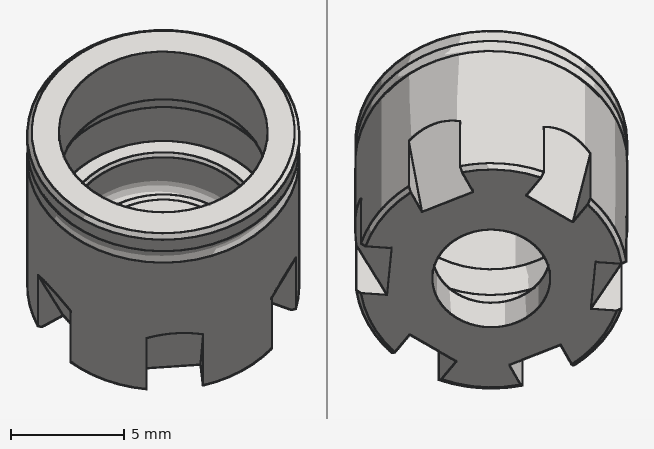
import cadquery as cq
import math

outer_radius = 6.0
height = 10.8
edge_chamfer = 0.2

groove_top = height - 1.0
groove_bottom = height - 1.79
flank_height = 0.2
flank_angle = math.radians(30)

mouth_radius = 4.6
undercut_radius = 5.15
flare_top = height - 3.3
flare_height = 1.2
shelf_level = 3.96
lower_bore_radius = 4.35
lower_bore_chamfer = 0.15

floor_level = 1.92
floor_radius = 3.48
floor_slope = math.radians(20)
trough_inner_radius = 3.9
through_radius = 5.2 / 2

notch_count = 6
notch_width = 2.5
notch_height = 4.1
notch_slope = math.radians(20)
first_notch_angle = 30.0


def make_body():
    """Chamfered cylinder with the external groove, as one revolved outline."""
    flank_radius = outer_radius - flank_height * math.tan(flank_angle)
    arc_half_height = (groove_top - groove_bottom) / 2 - flank_height
    arc_depth = arc_half_height * math.tan(flank_angle / 2)
    return (
        cq.Workplane("XZ")
        .lineTo(outer_radius - edge_chamfer, 0)
        .lineTo(outer_radius, edge_chamfer)
        .lineTo(outer_radius, groove_bottom)
        .lineTo(flank_radius, groove_bottom + flank_height)
        .threePointArc(
            (flank_radius - arc_depth, (groove_bottom + groove_top) / 2),
            (flank_radius, groove_top - flank_height),
        )
        .lineTo(outer_radius, groove_top)
        .lineTo(outer_radius, height - edge_chamfer)
        .lineTo(outer_radius - edge_chamfer, height)
        .lineTo(0, height)
        .close()
        .revolve(360, (0, 0, 0), (0, 1, 0))
    )


def make_bore():
    """Cavity above the floor, together with the through hole."""
    trough_radius = (lower_bore_radius - trough_inner_radius) / (1 - math.sin(floor_slope))
    trough_inner_level = floor_level - (trough_inner_radius - floor_radius) * math.tan(floor_slope)
    center_radius = lower_bore_radius - trough_radius
    center_level = trough_inner_level + trough_radius * math.cos(floor_slope)
    middle_angle = (math.pi / 2 - floor_slope) / 2
    trough_middle = (
        center_radius + trough_radius * math.cos(middle_angle),
        center_level - trough_radius * math.sin(middle_angle),
    )
    return (
        cq.Workplane("XZ")
        .lineTo(through_radius, 0)
        .lineTo(through_radius, floor_level)
        .lineTo(floor_radius, floor_level)
        .lineTo(trough_inner_radius, trough_inner_level)
        .threePointArc(trough_middle, (lower_bore_radius, center_level))
        .lineTo(lower_bore_radius, shelf_level - lower_bore_chamfer)
        .lineTo(lower_bore_radius + lower_bore_chamfer, shelf_level)
        .lineTo(undercut_radius, shelf_level)
        .lineTo(undercut_radius, flare_top - flare_height)
        .lineTo(mouth_radius, flare_top)
        .lineTo(mouth_radius, height)
        .lineTo(0, height)
        .close()
        .revolve(360, (0, 0, 0), (0, 1, 0))
    )


def make_notch():
    """Wedge along +X whose sloped floor leaves the outer wall at the notch height."""
    floor_depth = notch_height * math.tan(notch_slope)
    return (
        cq.Workplane("XZ")
        .moveTo(outer_radius - floor_depth, 0)
        .lineTo(outer_radius, 0)
        .lineTo(outer_radius, notch_height)
        .close()
        .extrude(notch_width / 2, both=True)
    )


result = make_body().cut(make_bore())
for index in range(notch_count):
    notch_angle = first_notch_angle + index * 360 / notch_count
    result = result.cut(make_notch().rotate((0, 0, 0), (0, 0, 1), notch_angle))